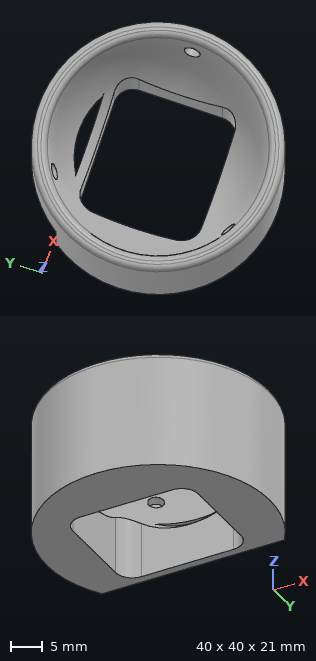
import cadquery as cq

outer_diameter = 40
outer_radius = outer_diameter / 2
height = 21.0
rim_fillet = 1.0

bowl_radius = 17.5
bowl_center_z = height + 0.5
inner_rim_fillet = 1.0

step_y = 11.45
step_height = 10

window_length = 22.5
window_width = 19.9
window_offset_x = -0.25
window_corner_radius = 3.0

full_turn = 360
hole_count = 3
hole_diameter = 2.6
hole_tilt = 17.5
hole_depth = 1.4


def make_body():
    """Cylinder with a spherical bowl and a rounded rim."""
    cylinder = cq.Workplane("XY").circle(outer_radius).extrude(height)
    bowl = cq.Workplane("XY").sphere(bowl_radius).translate((0, 0, bowl_center_z))
    body = cylinder.faces(">Z").edges().fillet(rim_fillet).cut(bowl)
    inner_rim = cq.selectors.RadiusNthSelector(0)
    return body.faces(">Z").edges(inner_rim).fillet(inner_rim_fillet)


def make_step():
    """Block removed from the lower part of the +Y side."""
    depth = outer_radius - step_y
    step = cq.Workplane("XY").box(outer_diameter, depth, step_height, centered=(True, False, False))
    return step.translate((0, step_y, 0))


def make_window():
    """Rounded rectangular prism that opens the floor of the bowl."""
    return (
        cq.Workplane("XY")
        .center(window_offset_x, 0)
        .rect(window_length, window_width)
        .extrude(height)
        .edges("|Z")
        .fillet(window_corner_radius)
    )


def make_wall_hole(angle):
    """Flat-ended hole from the bowl centre, sloping down and turned about Z."""
    hole = cq.Workplane("YZ").circle(hole_diameter / 2).extrude(bowl_radius + hole_depth)
    sloped_hole = hole.rotate((0, 0, 0), (0, 1, 0), hole_tilt).translate((0, 0, bowl_center_z))
    return sloped_hole.rotate((0, 0, 0), (0, 0, 1), angle)


result = make_body().cut(make_step()).cut(make_window())
for index in range(hole_count):
    result = result.cut(make_wall_hole(index * full_turn / hole_count))